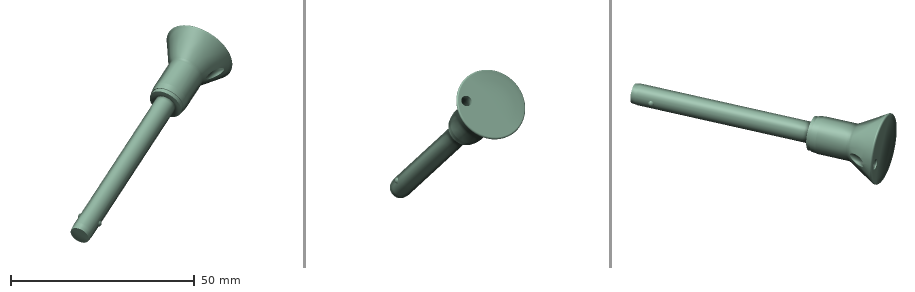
import cadquery as cq
import math

total_length = 73.0

head_radius = 10.0
rim_round = 0.45
flare_angle = math.radians(30)
neck_round = 1.6

barrel_radius = 5.25
taper_start = 18.2
taper_end = 19.9
taper_end_radius = 5.05
collar_radius = 4.8
collar_end = 21.0

shaft_radius = 3.0
tip_radius = 2.8
tip_length = 1.75

ball_radius = 0.95
ball_reach = 3.5
ball_depth = 66.9

hole_diameter = 3.0
hole_offset = 7.2


def make_body():
    """Revolve the half profile, given as radius and depth behind the head face."""
    rim_center = head_radius - rim_round
    flare_radius = rim_center + rim_round * math.cos(flare_angle)
    flare_start = rim_round + rim_round * math.sin(flare_angle)
    corner_depth = flare_start + (flare_radius - barrel_radius) / math.tan(flare_angle)

    neck_tangent = neck_round * math.tan(flare_angle / 2)
    neck_start = (
        barrel_radius + neck_tangent * math.sin(flare_angle),
        -(corner_depth - neck_tangent * math.cos(flare_angle)),
    )
    neck_end_depth = corner_depth + neck_tangent
    neck_middle = (
        barrel_radius + neck_round * (1 - math.cos(flare_angle / 2)),
        -(neck_end_depth - neck_round * math.sin(flare_angle / 2)),
    )

    profile = (
        cq.Workplane("XY")
        .lineTo(rim_center, 0)
        .threePointArc((head_radius, -rim_round), (flare_radius, -flare_start))
        .lineTo(*neck_start)
        .threePointArc(neck_middle, (barrel_radius, -neck_end_depth))
        .lineTo(barrel_radius, -taper_start)
        .lineTo(taper_end_radius, -taper_end)
        .lineTo(collar_radius, -taper_end)
        .lineTo(collar_radius, -collar_end)
        .lineTo(shaft_radius, -collar_end)
        .lineTo(shaft_radius, -(total_length - tip_length))
        .lineTo(tip_radius, -total_length)
        .lineTo(0, -total_length)
        .close()
    )
    return profile.revolve(360, (0, 0, 0), (0, 1, 0))


def make_ball(side):
    """Locking ball on the +X (side = 1) or -X (side = -1) flank of the shaft."""
    center_x = side * (ball_reach - ball_radius)
    return cq.Workplane("XY").sphere(ball_radius).translate((center_x, -ball_depth, 0))


def make_lanyard_hole():
    """Cutter parallel to the pin axis, long enough to pass through the flare."""
    return (
        cq.Workplane("XZ")
        .center(hole_offset, 0)
        .circle(hole_diameter / 2)
        .extrude(taper_start)
    )


result = make_body().cut(make_lanyard_hole())
for side in (-1, 1):
    result = result.union(make_ball(side))